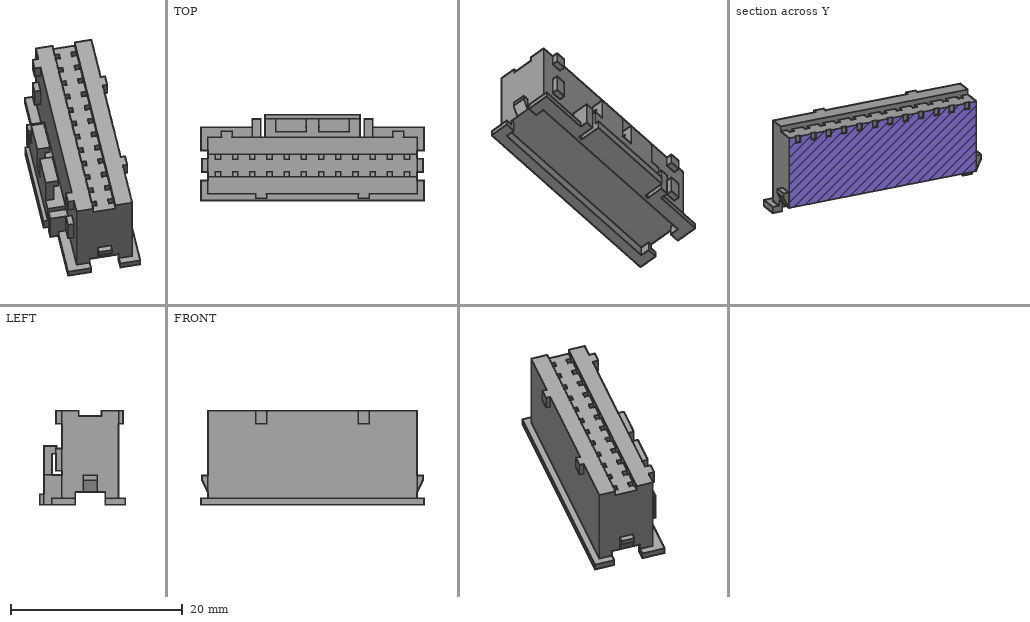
import cadquery as cq

TOTAL_LENGTH = 26.0
BODY_LENGTH = 24.4
BODY_DEPTH = 6.6
TOTAL_HEIGHT = 11.0
BODY_BACK = BODY_DEPTH / 2
BODY_FRONT = -BODY_DEPTH / 2
BODY_END = BODY_LENGTH / 2

FLANGE_HEIGHT = 0.78
FRONT_FLANGE_REACH = 0.8
BACK_FLANGE_REACH = 1.17
CHANNEL_WIDTH = 3.45
CHANNEL_HEIGHT = 1.48

WALL = 0.45

RECESS_WIDTH = 2.63
RECESS_DEPTH = 0.62
SLOT_COLUMNS = 12
SLOT_PITCH = 2.0
SLOT_SIZE = 0.6
SLOT_DEPTH = 0.78

PEG_WIDTH = 1.27
PEG_HEIGHT = 1.55
FRONT_PEG_OFFSET = 5.98
FRONT_PEG_REACH = 0.52
BACK_PEG_OFFSET = 9.98
BACK_PEG_REACH = 0.7
PAD_BOTTOM = 3.98
PAD_TOP = 6.58

LATCH_WIDTH = 11.08
LATCH_REACH = 2.1
LATCH_BASE_HEIGHT = 3.5
LATCH_BACK = BODY_BACK + LATCH_REACH
FOOT_REACH = 0.5
FOOT_HEIGHT = 1.25
ARM_WIDTH = 3.55
ARM_GAP = 1.45
ARM_THICKNESS = 0.95
ARM_TOP = 6.9
HOOK_DEPTH = 1.5
HOOK_HEIGHT = 0.94

POST_WIDTH = 1.01
POST_OUTER = 7.02

CATCH_REACH = 0.68
CATCH_WIDTH = 1.59
CATCH_TOP = 3.43
CATCH_FLAT_HEIGHT = 0.55


def block(x_start, x_end, y_start, y_end, z_start, z_end):
    """Box between two opposite corners."""
    size = (x_end - x_start, y_end - y_start, z_end - z_start)
    return cq.Workplane("XY").box(*size, centered=False).translate((x_start, y_start, z_start))


def centred_block(x_centre, width, y_start, y_end, z_start, z_end):
    """Box of a given width along X about a centre."""
    return block(x_centre - width / 2, x_centre + width / 2, y_start, y_end, z_start, z_end)


def base_flanges():
    """Front flange along the full length and back flanges that end at the guard posts."""
    half_length = TOTAL_LENGTH / 2
    back_edge = BODY_BACK + BACK_FLANGE_REACH
    front = centred_block(0, TOTAL_LENGTH, BODY_FRONT - FRONT_FLANGE_REACH, 0, 0, FLANGE_HEIGHT)
    left = block(-half_length, -POST_OUTER, 0, back_edge, 0, FLANGE_HEIGHT)
    right = block(POST_OUTER, half_length, 0, back_edge, 0, FLANGE_HEIGHT)
    return front.union(left).union(right)


def end_catch():
    """Wedge on the +X end that tapers down to the roof of the channel."""
    outline = [
        (BODY_END, CATCH_TOP),
        (BODY_END + CATCH_REACH, CATCH_TOP),
        (BODY_END + CATCH_REACH, CATCH_TOP - CATCH_FLAT_HEIGHT),
        (BODY_END, CHANNEL_HEIGHT),
    ]
    return cq.Workplane("XZ").polyline(outline).close().extrude(CATCH_WIDTH / 2, both=True)


def latch_arm(x_centre):
    """Upright arm whose hook points towards the body."""
    outline = [
        (LATCH_BACK, 0),
        (LATCH_BACK, ARM_TOP),
        (LATCH_BACK - HOOK_DEPTH, ARM_TOP),
        (LATCH_BACK - HOOK_DEPTH, ARM_TOP - HOOK_HEIGHT),
        (LATCH_BACK - ARM_THICKNESS, ARM_TOP - HOOK_HEIGHT),
        (LATCH_BACK - ARM_THICKNESS, 0),
    ]
    arm = cq.Workplane("YZ").polyline(outline).close().extrude(ARM_WIDTH / 2, both=True)
    return arm.translate((x_centre, 0, 0))


def latch():
    """Base block with its foot and the two hooked arms."""
    base = centred_block(0, LATCH_WIDTH, BODY_BACK, LATCH_BACK, 0, LATCH_BASE_HEIGHT)
    foot = centred_block(0, LATCH_WIDTH, LATCH_BACK, LATCH_BACK + FOOT_REACH, 0, FOOT_HEIGHT)
    arm_offset = (ARM_GAP + ARM_WIDTH) / 2
    return base.union(foot).union(latch_arm(-arm_offset)).union(latch_arm(arm_offset))


def side_features(side):
    """Pegs, pad and guard post on one half of the part; side is -1 or +1."""
    peg_bottom = TOTAL_HEIGHT - PEG_HEIGHT
    front_x = side * FRONT_PEG_OFFSET
    back_x = side * BACK_PEG_OFFSET
    post_x = side * (POST_OUTER - POST_WIDTH / 2)
    back_edge = BODY_BACK + BACK_PEG_REACH
    front_peg = centred_block(
        front_x, PEG_WIDTH, BODY_FRONT - FRONT_PEG_REACH, BODY_FRONT, peg_bottom, TOTAL_HEIGHT
    )
    back_peg = centred_block(back_x, PEG_WIDTH, BODY_BACK, back_edge, peg_bottom, TOTAL_HEIGHT)
    pad = centred_block(back_x, PEG_WIDTH, BODY_BACK, back_edge, PAD_BOTTOM, PAD_TOP)
    post = centred_block(post_x, POST_WIDTH, BODY_BACK, LATCH_BACK, 0, LATCH_BASE_HEIGHT)
    return front_peg.union(back_peg).union(pad).union(post)


def contact_slots():
    """Two rows of blind square slots along the side walls of the recess."""
    floor = TOTAL_HEIGHT - RECESS_DEPTH
    row_spacing = RECESS_WIDTH - SLOT_SIZE
    return (
        cq.Workplane("XY", origin=(0, 0, floor))
        .rarray(SLOT_PITCH, row_spacing, SLOT_COLUMNS, 2)
        .rect(SLOT_SIZE, SLOT_SIZE)
        .extrude(-SLOT_DEPTH)
    )


body = centred_block(0, BODY_LENGTH, BODY_FRONT, BODY_BACK, 0, TOTAL_HEIGHT)
body = body.union(base_flanges()).union(latch())
for side in (-1, 1):
    body = body.union(side_features(side))

channel = centred_block(0, TOTAL_LENGTH, -CHANNEL_WIDTH / 2, CHANNEL_WIDTH / 2, 0, CHANNEL_HEIGHT)
cavity = centred_block(
    0, BODY_LENGTH - 2 * WALL, BODY_FRONT + WALL, BODY_BACK - WALL, 0, CHANNEL_HEIGHT
)
recess = centred_block(
    0, BODY_LENGTH, -RECESS_WIDTH / 2, RECESS_WIDTH / 2, TOTAL_HEIGHT - RECESS_DEPTH, TOTAL_HEIGHT
)
body = body.cut(channel).cut(cavity).cut(recess).cut(contact_slots())

catch = end_catch()
result = body.union(catch).union(catch.mirror("YZ"))